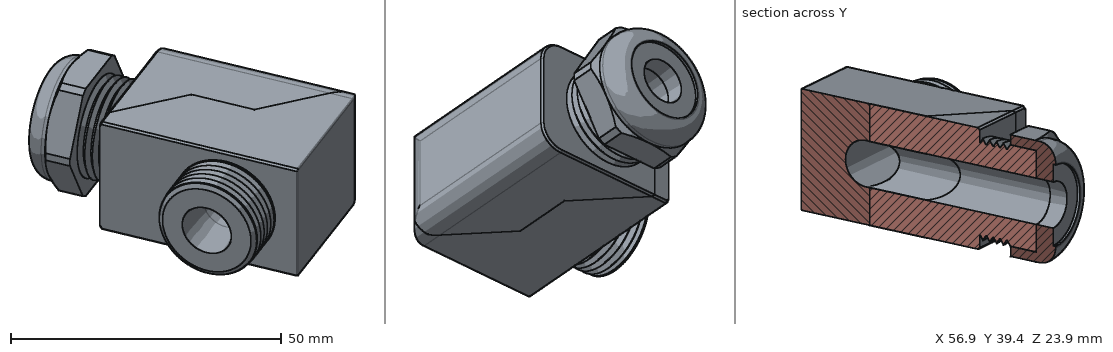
import cadquery as cq
import math


total_length = 56.9
block_start = 17.0
block_width = 30.6
block_height = 23.9
corner_radius = 4.65
edge_chamfer = 0.4
end_edge_round = 0.2
half_width = block_width / 2
half_height = block_height / 2
block_length = total_length - block_start

joint_step_x = 28.9
joint_kink = 3.2
joint_exit = 2.35
joint_overrun = 2.85

crest_radius = 10.0
root_radius = 8.95
thread_pitch = 1.55

inlet_first_crest = 0.7
inlet_crests = 4

outlet_x = 42.45
outlet_length = 8.75
outlet_first_crest = 0.5
outlet_crests = 5
tip_radius = 9.85
tip_land = 0.35
tip_chamfer = 0.5

bore_radius = 4.5
outlet_mouth_radius = 4.95

nut_length = 10.2
dome_round = 3.7
nut_radius = block_height / 2
collar_end = 4.5
hex_corner_radius = 13.35
hex_chamfer_angle = 30.0
hex_turn = 30.0
recess_radius = 7.95
recess_depth = 0.55
shank_tip = 4.3


def make_block():
    """Block with rounded +Y edges and its other outer edges broken, except the sharp -X, -Y corner."""
    section = (
        cq.Workplane("YZ")
        .workplane(offset=block_start)
        .rect(block_width, block_height)
        .extrude(block_length)
        .edges("|X and >Y")
        .fillet(corner_radius)
    )
    plan = (
        cq.Workplane("XY")
        .workplane(offset=-half_height)
        .moveTo(block_start + block_length / 2, 0)
        .rect(block_length, block_width)
        .extrude(block_height)
        .edges("|Z and >X and >Y")
        .fillet(corner_radius)
    )
    block = section.intersect(plan)
    block = block.edges("|X and <Y").chamfer(edge_chamfer)
    block = block.faces("<X").edges("not(<Y)").chamfer(edge_chamfer)
    return block.faces(">X").edges("not(>Y)").fillet(end_edge_round)


def thread_profile(first_crest, crest_count):
    """Points (distance from the block, radius) along sharp thread crests and roots."""
    points = []
    for i in range(crest_count):
        crest = first_crest + i * thread_pitch
        points.append((crest, crest_radius))
        points.append((crest + thread_pitch / 2, root_radius))
    return points


def make_inlet_stub():
    """Threaded neck between block and nut, with a plain shank inside the nut."""
    neck_length = block_start - nut_length
    outline = [(0, 0), (0, root_radius)]
    outline += thread_profile(inlet_first_crest, inlet_crests)
    outline += [
        (neck_length, crest_radius),
        (block_start - shank_tip, crest_radius),
        (block_start - shank_tip, 0),
    ]
    points = [(block_start - distance, radius) for distance, radius in outline]
    return cq.Workplane("XZ").polyline(points).close().revolve(360, (0, 0, 0), (1, 0, 0))


def make_outlet_stub():
    """Threaded stub ending in a narrow land chamfered down to the root radius."""
    outline = [(0, 0), (0, crest_radius)]
    outline += thread_profile(outlet_first_crest, outlet_crests)
    outline += [
        (outlet_length - tip_chamfer - tip_land, tip_radius),
        (outlet_length - tip_chamfer, tip_radius),
        (outlet_length, root_radius),
        (outlet_length, 0),
    ]
    points = [(-half_width - distance, radius) for distance, radius in outline]
    return (
        cq.Workplane("YZ")
        .workplane(offset=outlet_x)
        .polyline(points)
        .close()
        .revolve(360, (0, 0, 0), (1, 0, 0))
    )


def make_elbow_bore():
    """Two round bores meeting in a 45 degree mitre, with the outlet flared along its stub."""
    outlet_end = half_width + outlet_length
    inlet = cq.Workplane("YZ").circle(bore_radius).extrude(outlet_x + bore_radius)
    outlet = (
        cq.Workplane("XZ", origin=(outlet_x, bore_radius, 0))
        .circle(bore_radius)
        .extrude(bore_radius + outlet_end)
    )
    mitre_side = (
        cq.Workplane("XY")
        .workplane(offset=-bore_radius)
        .polyline([
            (0, bore_radius),
            (0, -outlet_x),
            (outlet_x + bore_radius, bore_radius),
        ])
        .close()
        .extrude(2 * bore_radius)
    )
    flare = cq.Workplane(cq.Solid.makeCone(
        outlet_mouth_radius,
        bore_radius,
        outlet_length,
        pnt=cq.Vector(outlet_x, -outlet_end, 0),
        dir=cq.Vector(0, 1, 0),
    ))
    return inlet.intersect(mitre_side).union(outlet.cut(mitre_side)).union(flare)


def make_inlet_side():
    """Region on the inlet side of the stepped joint."""
    face_x = block_start - joint_overrun
    face_y = block_start - joint_step_x - joint_overrun
    top_y = half_width + joint_overrun
    return (
        cq.Workplane("XY")
        .workplane(offset=-block_height)
        .polyline([
            (face_x, face_y),
            (joint_step_x, 0),
            (total_length - half_width, 0),
            (total_length - joint_kink, half_width - joint_kink),
            (total_length - joint_exit, half_width),
            (total_length - joint_exit, top_y),
            (face_x, top_y),
        ])
        .close()
        .extrude(2 * block_height)
    )


def make_nut():
    """Hexagon nut with a domed front, a recessed front face and a socket for the shank."""
    chamfer_length = (hex_corner_radius - nut_radius) * math.tan(math.radians(hex_chamfer_angle))
    dome_middle = dome_round * (1 - math.sqrt(0.5))
    envelope = (
        cq.Workplane("XZ")
        .moveTo(0, 0)
        .lineTo(0, nut_radius - dome_round)
        .threePointArc((dome_middle, nut_radius - dome_middle), (dome_round, nut_radius))
        .lineTo(collar_end, nut_radius)
        .lineTo(collar_end + chamfer_length, hex_corner_radius)
        .lineTo(nut_length, hex_corner_radius)
        .lineTo(nut_length, 0)
        .close()
        .revolve(360, (0, 0, 0), (1, 0, 0))
    )
    hexagon = (
        cq.Workplane("YZ")
        .polygon(6, 2 * nut_radius, circumscribed=True)
        .extrude(nut_length)
        .rotate((0, 0, 0), (1, 0, 0), hex_turn)
    )
    recess = cq.Workplane("YZ").circle(recess_radius).extrude(recess_depth)
    hole = cq.Workplane("YZ").circle(bore_radius).extrude(nut_length)
    socket = (
        cq.Workplane("YZ")
        .workplane(offset=shank_tip)
        .circle(crest_radius)
        .extrude(nut_length - shank_tip)
    )
    return envelope.intersect(hexagon).cut(recess).cut(hole).cut(socket)


block = make_block()
bore = make_elbow_bore()
inlet_side = make_inlet_side()

inlet_half = block.intersect(inlet_side).union(make_inlet_stub()).cut(bore)
outlet_half = block.cut(inlet_side).union(make_outlet_stub()).cut(bore)
nut = make_nut()

result = cq.Compound.makeCompound([inlet_half.val(), outlet_half.val(), nut.val()])